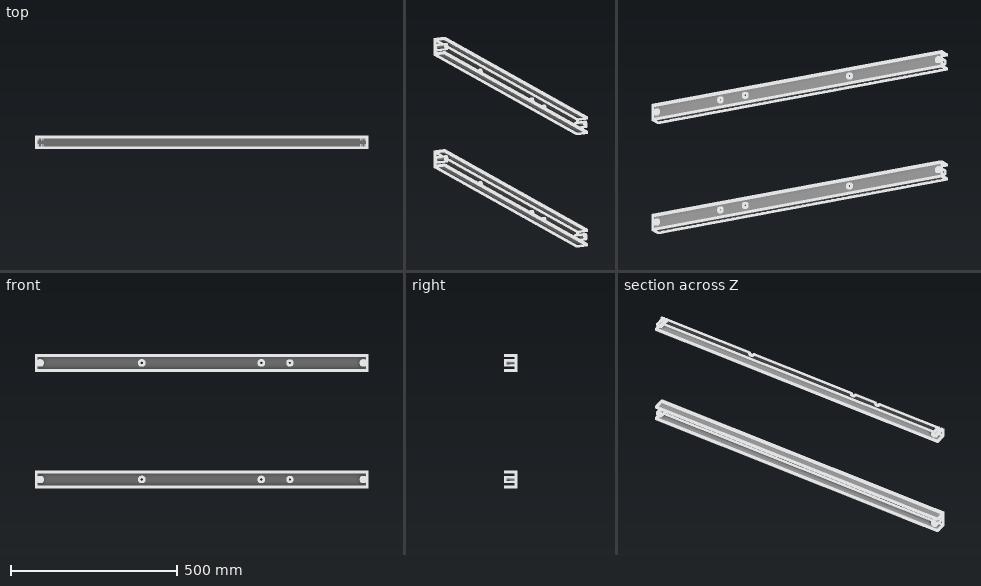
import cadquery as cq

rail_length = 996.0
rail_depth = 34.0
rail_height = 48.0
wall = 3.0
overall_height = 398.0
rail_pitch = overall_height - rail_height

post_diameter = 16.0
post_bore = 9.0
post_inset = 12.0

web_holes = [(318.0, 15.0), (677.0, 15.0), (763.0, 14.0)]

web_inner_y = rail_depth / 2 - wall


def along_y(x, diameter, start_y, end_y):
    """Cylinder at mid-height of a rail, running along Y."""
    return (
        cq.Workplane("XZ", origin=(x, end_y, 0))
        .circle(diameter / 2)
        .extrude(end_y - start_y)
    )


def make_channel():
    """C-section with a back web and two flanges, centred on the origin."""
    outer = cq.Workplane("XY").box(rail_length, rail_depth, rail_height)
    cavity = (
        cq.Workplane("XY")
        .box(rail_length, rail_depth - wall, rail_height - 2 * wall)
        .translate((0, -wall / 2, 0))
    )
    return outer.cut(cavity)


def make_rail(centre_z):
    """Channel with end posts and drilled web, at the given height."""
    rail = make_channel()
    front_y = -rail_depth / 2
    back_y = rail_depth / 2
    post_x = rail_length / 2 - post_inset
    for x in (-post_x, post_x):
        rail = rail.union(along_y(x, post_diameter, front_y, web_inner_y))
        rail = rail.cut(along_y(x, post_bore, front_y, back_y))
    for distance, diameter in web_holes:
        x = distance - rail_length / 2
        rail = rail.cut(along_y(x, diameter, front_y, back_y))
    return rail.translate((0, 0, centre_z))


rails = [make_rail(z) for z in (-rail_pitch / 2, rail_pitch / 2)]

result = cq.Compound.makeCompound([rail.val() for rail in rails])